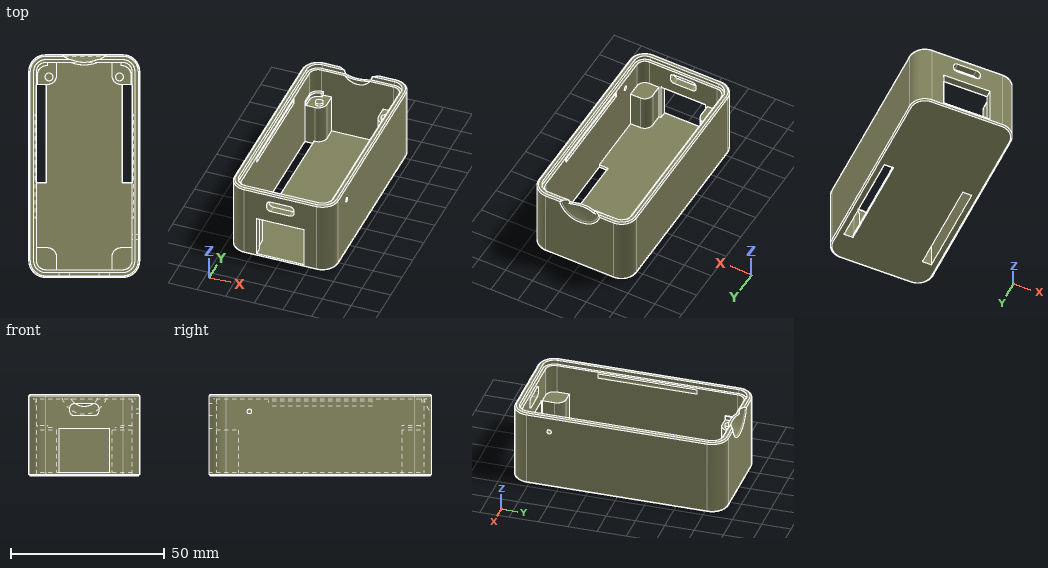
import cadquery as cq
import math

WIDTH = 36.21
LENGTH = 72.6
HEIGHT = 26.58
CORNER_RADIUS = 5.5
EDGE_CHAMFER = 0.5

WALL = 2.5
FLOOR = 1.1
LIP = 1.6
LIP_DEPTH = 1.5

PILLAR_WIDTH = 6.6
PILLAR_LENGTH = 7.2
PILLAR_TOP = 15.0
PILLAR_RADIUS = 3.0
BOARD_WIDTH = 30.5
BOARD_WALL_GAP = 1.05
BOARD_CORNER_RADIUS = 3.0
FENCE_HEIGHT = 1.4
FENCE_WIDTH = 3.7
PIN_DIAMETER = 2.55
PIN_HEIGHT = 0.8
PIN_X = 11.5
PIN_Y = 29.05

FLOOR_SLOT_WIDTH = 3.2
FLOOR_SLOT_LENGTH = 32.0
WINDOW_WIDTH = 16.5
WINDOW_TOP = 15.4
PORT_WIDTH = 9.5
PORT_HEIGHT = 3.85
PORT_RADIUS = 1.4
PORT_Z = 21.6
SIDE_HOLE_DIAMETER = 1.5
SIDE_HOLE_Y = -23.1
SIDE_HOLE_Z = 21.0

GROOVE_RADIUS = 1.0
GROOVE_DEPTH = 0.4
GROOVE_LENGTH = 33.8
GROOVE_Z = 23.65

SCOOP_RADIUS = 11.1
SCOOP_SKIN = 0.85
SCOOP_Y = 44.6
SCOOP_Z = 27.75
SCOOP_BEVEL_DEPTH = 0.3
SCOOP_BEVEL_WIDTH = 0.6

CAVITY_WIDTH = WIDTH - 2 * WALL
CAVITY_LENGTH = LENGTH - 2 * WALL
INNER_X = CAVITY_WIDTH / 2
INNER_Y = CAVITY_LENGTH / 2
LEDGE_Z = HEIGHT - LIP_DEPTH


def rounded_block(width, length, radius, bottom, top):
    """Upright block centred on the Z axis with rounded vertical edges."""
    block = cq.Workplane("XY").workplane(offset=bottom).rect(width, length).extrude(top - bottom)
    return block.edges("|Z").fillet(radius)


def box_between(x_range, y_range, z_range):
    """Axis-aligned box from its limits along each axis."""
    sizes = [high - low for low, high in (x_range, y_range, z_range)]
    corner = (x_range[0], y_range[0], z_range[0])
    return cq.Workplane("XY").box(*sizes, centered=False).translate(corner)


def cavity():
    return rounded_block(CAVITY_WIDTH, CAVITY_LENGTH, CORNER_RADIUS - WALL, FLOOR, HEIGHT)


def shell():
    """Open tray with a stepped rim for the lid."""
    body = rounded_block(WIDTH, LENGTH, CORNER_RADIUS, 0, HEIGHT)
    body = body.faces("<Z or >Z").edges().chamfer(EDGE_CHAMFER)
    rebate = rounded_block(WIDTH - 2 * LIP, LENGTH - 2 * LIP, CORNER_RADIUS - LIP, LEDGE_Z, HEIGHT)
    return body.cut(cavity()).cut(rebate)


def back_right_pillar_footprint():
    return (INNER_X - PILLAR_WIDTH, INNER_X), (INNER_Y - PILLAR_LENGTH, INNER_Y)


def pillar():
    """Plain pillar in the +X +Y corner, rounded on its free edge."""
    x_range, y_range = back_right_pillar_footprint()
    block = box_between(x_range, y_range, (0, PILLAR_TOP))
    return block.edges("|Z and <X and <Y").fillet(PILLAR_RADIUS)


def board_fence():
    """Raised rim on the +X +Y pillar, following the corner of the board."""
    _, y_range = back_right_pillar_footprint()
    top = PILLAR_TOP + FENCE_HEIGHT
    rim = box_between((INNER_X - FENCE_WIDTH, INNER_X), y_range, (PILLAR_TOP, top))
    board_length = CAVITY_LENGTH - 2 * BOARD_WALL_GAP
    board = rounded_block(BOARD_WIDTH, board_length, BOARD_CORNER_RADIUS, PILLAR_TOP, top)
    return rim.cut(board)


def board_pin():
    pin = cq.Workplane("XY").circle(PIN_DIAMETER / 2).extrude(PIN_HEIGHT)
    return pin.translate((PIN_X, PIN_Y, PILLAR_TOP))


def supports():
    """Pillars in all four corners; the back pair locates the board."""
    back_right = pillar().union(board_fence()).union(board_pin())
    right_side = back_right.union(pillar().mirror("XZ"))
    both_sides = right_side.union(right_side.mirror("YZ"))
    inside_walls = rounded_block(WIDTH - 2 * LIP, LENGTH - 2 * LIP, CORNER_RADIUS - LIP, 0, HEIGHT)
    return both_sides.intersect(inside_walls)


def scoop_ball(radius):
    return cq.Workplane("XY").sphere(radius).translate((0, SCOOP_Y, SCOOP_Z))


def scoop_bevel():
    """Conical bevel where the scoop breaks through the outer face of the back wall."""
    bevel_y = LENGTH / 2 - SCOOP_BEVEL_DEPTH
    inner_radius = math.sqrt(SCOOP_RADIUS**2 - (SCOOP_Y - bevel_y) ** 2)
    outer_radius = inner_radius + SCOOP_BEVEL_WIDTH
    axis_start = cq.Vector(0, bevel_y, SCOOP_Z)
    cone = cq.Solid.makeCone(inner_radius, outer_radius, SCOOP_BEVEL_DEPTH, axis_start, cq.Vector(0, 1, 0))
    return cq.Workplane(cone)


def scoop():
    return scoop_ball(SCOOP_RADIUS).union(scoop_bevel())


def scoop_backing():
    """Bulge inside the back wall that keeps a skin behind the scoop."""
    inner_space = box_between((-INNER_X, INNER_X), (0, INNER_Y + WALL / 2), (FLOOR, LEDGE_Z))
    return scoop_ball(SCOOP_RADIUS + SCOOP_SKIN).intersect(inner_space)


def floor_slots():
    slot_end = INNER_Y - PILLAR_LENGTH
    slot = box_between(
        (INNER_X - FLOOR_SLOT_WIDTH, INNER_X),
        (slot_end - FLOOR_SLOT_LENGTH, slot_end),
        (0, FLOOR),
    )
    return slot.union(slot.mirror("YZ"))


def front_openings():
    """Square window at floor level and the rounded port above it."""
    front_wall = (-LENGTH / 2, -INNER_Y)
    window = box_between((-WINDOW_WIDTH / 2, WINDOW_WIDTH / 2), front_wall, (FLOOR, WINDOW_TOP))
    port = box_between(
        (-PORT_WIDTH / 2, PORT_WIDTH / 2),
        front_wall,
        (PORT_Z - PORT_HEIGHT / 2, PORT_Z + PORT_HEIGHT / 2),
    )
    return window.union(port.edges("|Y").fillet(PORT_RADIUS))


def side_hole():
    hole = cq.Workplane("YZ").circle(SIDE_HOLE_DIAMETER / 2).extrude(WALL)
    return hole.translate((INNER_X, SIDE_HOLE_Y, SIDE_HOLE_Z))


def snap_grooves():
    """Shallow round-bottomed grooves in both side walls."""
    rod = cq.Workplane("XZ").circle(GROOVE_RADIUS).extrude(GROOVE_LENGTH / 2, both=True)
    groove = rod.translate((INNER_X + GROOVE_DEPTH - GROOVE_RADIUS, 0, GROOVE_Z))
    return groove.union(groove.mirror("YZ"))


result = shell().union(supports()).union(scoop_backing())
for opening in (floor_slots(), front_openings(), side_hole(), snap_grooves(), scoop()):
    result = result.cut(opening)